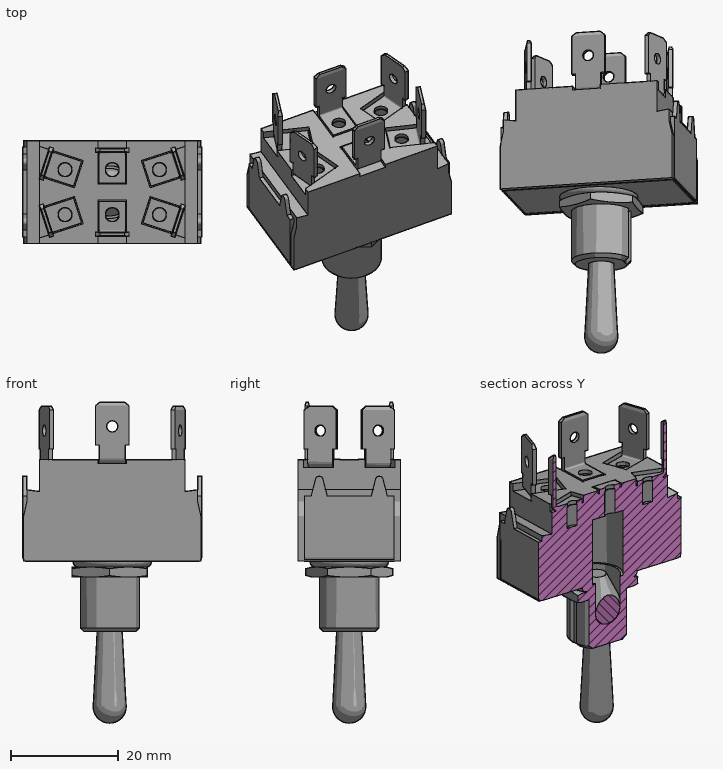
import cadquery as cq
import math


HOUSING_WIDTH = 19.05
HOUSING_HEIGHT = 18.8
UPPER_HALF_LENGTH = 13.5
LOWER_HALF_LENGTH = 16.45
SHOULDER_HALF_LENGTH = 15.85
SHOULDER_INNER_Z = 12.9
SHOULDER_OUTER_Z = 13.2
TAPER_BOTTOM_Z = 8.3
TAPER_TOP_Z = 10.95

BRACKET_HALF_LENGTH = 16.6
BRACKET_THICKNESS = BRACKET_HALF_LENGTH - SHOULDER_HALF_LENGTH
BRACKET_WIDTH = 16.7
BRACKET_BOTTOM_Z = -0.1
BRACKET_TOP_Z = 12.1
BRACKET_BEND_RADIUS = 0.95
TOOTH_SPACING = 11.15
TOOTH_BASE_WIDTH = 3.0
TOOTH_TIP_WIDTH = 1.4
TOOTH_SIDE_TOP_Z = 15.05
TOOTH_TIP_Z = 15.7

TAB_WIDTH = 6.25
TAB_THICKNESS = 0.85
NECK_WIDTH = 4.8
TAB_TOP_ABOVE_LEG = 11.4
SHOULDER_ABOVE_LEG = 3.4
TAB_HOLE_ABOVE_LEG = 6.85
TAB_HOLE_DIAMETER = 2.0
TAB_CORNER_WIDTH = 0.85
TAB_CORNER_HEIGHT = 0.7
TAB_EDGE_BEVEL = 0.2
TAB_OUTER_BEND_RADIUS = 1.15
HOLE_TO_TAB_FACE = 4.05
HOLE_TO_LEG_END = 2.45
LEG_HOLE_DIAMETER = 2.5
SCREW_HOLE_DIAMETER = 2.75
SCREW_HOLE_Y = 4.15
END_SCREW_HOLE_X = 8.75
END_TERMINAL_ANGLE = 18.0
MIDDLE_LEG_Z = 18.1
END_LEG_Z = 17.35
NOTCH_CLEARANCE = 0.25
NOTCH_REACH = 11.9

BUSHING_X = -0.5
FLANGE_RADIUS = 7.25
FLANGE_BOTTOM_Z = -1.15
FLANGE_ROUNDING = 0.95
HEX_ACROSS_FLATS = 14.0
HEX_TOP_Z = -1.15
HEX_BOTTOM_Z = -3.0
HEX_CORNER_CUT_HEIGHT = 0.3
BUSHING_RADIUS = 5.55
BUSHING_BOTTOM_Z = -13.1
BUSHING_CHAMFER = 0.7
KEYWAY_WIDTH = 1.95
KEYWAY_FLOOR_RADIUS = 4.5

BALL_RADIUS = 4.4
BALL_CENTRE_Z = -6.15
BALL_TO_CONE_ANGLE = 27.0
CONE_TOP_RADIUS = 1.8
STEM_TOP_RADIUS = 2.2
KNOB_RADIUS = 3.1
OVERALL_HEIGHT = 59.55
LEVER_TIP_Z = MIDDLE_LEG_Z + TAB_TOP_ABOVE_LEG - OVERALL_HEIGHT
CAVITY_RADIUS = 4.9
CAVITY_TOP_Z = 13.1


def housing_block():
    """Stepped block whose two ends lean in towards the shoulders."""
    right_side = [
        (LOWER_HALF_LENGTH, 0),
        (LOWER_HALF_LENGTH, TAPER_BOTTOM_Z),
        (SHOULDER_HALF_LENGTH, TAPER_TOP_Z),
        (SHOULDER_HALF_LENGTH, SHOULDER_OUTER_Z),
        (UPPER_HALF_LENGTH, SHOULDER_INNER_Z),
        (UPPER_HALF_LENGTH, HOUSING_HEIGHT),
    ]
    left_side = [(-x, z) for x, z in reversed(right_side)]
    outline = cq.Workplane("XZ").polyline(right_side + left_side).close()
    return outline.extrude(HOUSING_WIDTH / 2, both=True)


def bracket_tooth(y):
    """Round-tipped tooth, running the full length in X, rising from the bracket edge."""
    base = TOOTH_BASE_WIDTH / 2
    tip = TOOTH_TIP_WIDTH / 2
    return (
        cq.Workplane("YZ")
        .moveTo(y - base, BRACKET_TOP_Z)
        .lineTo(y - tip, TOOTH_SIDE_TOP_Z)
        .threePointArc((y, TOOTH_TIP_Z), (y + tip, TOOTH_SIDE_TOP_Z))
        .lineTo(y + base, BRACKET_TOP_Z)
        .close()
        .extrude(BRACKET_HALF_LENGTH, both=True)
    )


def bracket():
    """U-shaped strap with two teeth on each upright end."""
    length = 2 * BRACKET_HALF_LENGTH
    height = BRACKET_TOP_Z - BRACKET_BOTTOM_Z
    strap = (
        cq.Workplane("XY")
        .workplane(offset=BRACKET_BOTTOM_Z)
        .rect(length, BRACKET_WIDTH)
        .extrude(height)
        .edges("|Y and <Z")
        .fillet(BRACKET_BEND_RADIUS)
    )
    for y in (-TOOTH_SPACING / 2, TOOTH_SPACING / 2):
        strap = strap.union(bracket_tooth(y))
    inside = (
        cq.Workplane("XY")
        .workplane(offset=BRACKET_BOTTOM_Z + BRACKET_THICKNESS)
        .rect(length - 2 * BRACKET_THICKNESS, BRACKET_WIDTH)
        .extrude(TOOTH_TIP_Z)
    )
    return strap.cut(inside)


def terminal():
    """Bent tab about its screw hole: leg underside at Z = 0, upright blade on the -X side."""
    outer_x = -HOLE_TO_TAB_FACE
    inner_x = outer_x + TAB_THICKNESS
    top = TAB_TOP_ABOVE_LEG
    bevel_z = top - TAB_CORNER_HEIGHT
    outer_bend = TAB_OUTER_BEND_RADIUS
    inner_bend = outer_bend - TAB_THICKNESS
    bent_strip = (
        cq.Workplane("XZ")
        .moveTo(HOLE_TO_LEG_END, 0)
        .lineTo(outer_x + outer_bend, 0)
        .radiusArc((outer_x, outer_bend), outer_bend)
        .lineTo(outer_x, bevel_z)
        .lineTo(outer_x + TAB_EDGE_BEVEL, top)
        .lineTo(inner_x - TAB_EDGE_BEVEL, top)
        .lineTo(inner_x, bevel_z)
        .lineTo(inner_x, outer_bend)
        .radiusArc((inner_x + inner_bend, TAB_THICKNESS), -inner_bend)
        .lineTo(HOLE_TO_LEG_END, TAB_THICKNESS)
        .close()
        .extrude(TAB_WIDTH / 2, both=True)
    )
    right_side = [
        (NECK_WIDTH / 2, 0),
        (NECK_WIDTH / 2, SHOULDER_ABOVE_LEG),
        (TAB_WIDTH / 2, SHOULDER_ABOVE_LEG),
        (TAB_WIDTH / 2, bevel_z),
        (TAB_WIDTH / 2 - TAB_CORNER_WIDTH, top),
    ]
    left_side = [(-y, z) for y, z in reversed(right_side)]
    front_shape = (
        cq.Workplane("YZ")
        .polyline(right_side + left_side)
        .close()
        .extrude(HOLE_TO_TAB_FACE, both=True)
    )
    blade_hole = (
        cq.Workplane("YZ")
        .center(0, TAB_HOLE_ABOVE_LEG)
        .circle(TAB_HOLE_DIAMETER / 2)
        .extrude(-HOLE_TO_TAB_FACE)
    )
    leg_hole = cq.Workplane("XY").circle(LEG_HOLE_DIAMETER / 2).extrude(TAB_THICKNESS)
    return bent_strip.intersect(front_shape).cut(blade_hole).cut(leg_hole)


def terminal_notch():
    """Recess with a little clearance round a terminal leg, open on the blade side."""
    end_x = HOLE_TO_LEG_END + NOTCH_CLEARANCE
    return (
        cq.Workplane("XY")
        .center(end_x - NOTCH_REACH / 2, 0)
        .rect(NOTCH_REACH, NECK_WIDTH + 2 * NOTCH_CLEARANCE)
        .extrude(HOUSING_HEIGHT)
    )


def terminal_places():
    """Screw-hole X and Y, leg height and turn about Z of the six terminals."""
    places = []
    for side in (-1, 1):
        y = side * SCREW_HOLE_Y
        places.append((0, y, MIDDLE_LEG_Z, -90 * side))
        places.append((-END_SCREW_HOLE_X, y, END_LEG_Z, -END_TERMINAL_ANGLE * side))
        places.append((END_SCREW_HOLE_X, y, END_LEG_Z, 180 + END_TERMINAL_ANGLE * side))
    return places


def screw_hole(x, y, leg_z):
    """Hole from the underside of a terminal leg, slightly wider than the leg's own hole."""
    return (
        cq.Workplane("XY", origin=(x, y, CAVITY_TOP_Z))
        .circle(SCREW_HOLE_DIAMETER / 2)
        .extrude(leg_z - CAVITY_TOP_Z)
    )


def flange():
    """Round disc under the housing, rounded at its lower rim."""
    return (
        cq.Workplane("XY")
        .circle(FLANGE_RADIUS)
        .extrude(FLANGE_BOTTOM_Z)
        .faces("<Z")
        .edges()
        .fillet(FLANGE_ROUNDING)
    )


def hexagon():
    """Hexagon with a corner towards -Y and its corners turned off at top and bottom."""
    height = HEX_TOP_Z - HEX_BOTTOM_Z
    corner_diameter = HEX_ACROSS_FLATS / math.cos(math.pi / 6)
    chamfer_width = (corner_diameter - HEX_ACROSS_FLATS) / 2
    plane = cq.Workplane("XY", origin=(BUSHING_X, 0, HEX_BOTTOM_Z))
    prism = plane.transformed(rotate=(0, 0, 90)).polygon(6, corner_diameter).extrude(height)
    turned_blank = (
        plane.circle(corner_diameter / 2)
        .extrude(height)
        .faces("<Z or >Z")
        .edges()
        .chamfer(HEX_CORNER_CUT_HEIGHT, chamfer_width)
    )
    return prism.intersect(turned_blank)


def bushing():
    """Cylinder with a chamfered lower rim and a keyway down its -X side."""
    cylinder = (
        cq.Workplane("XY", origin=(BUSHING_X, 0, 0))
        .circle(BUSHING_RADIUS)
        .extrude(BUSHING_BOTTOM_Z)
        .faces("<Z")
        .edges()
        .chamfer(BUSHING_CHAMFER)
    )
    keyway_depth = BUSHING_RADIUS - KEYWAY_FLOOR_RADIUS
    keyway = (
        cq.Workplane("XY", origin=(BUSHING_X - KEYWAY_FLOOR_RADIUS - keyway_depth / 2, 0, HEX_BOTTOM_Z))
        .rect(keyway_depth, KEYWAY_WIDTH)
        .extrude(BUSHING_BOTTOM_Z - HEX_BOTTOM_Z)
    )
    return cylinder.cut(keyway)


def lever_cavity():
    """Bore above the lever ball, opening into a wider chamber in the housing."""
    bore = (
        cq.Workplane("XY", origin=(BUSHING_X, 0, BALL_CENTRE_Z))
        .circle(BALL_RADIUS)
        .extrude(-BALL_CENTRE_Z)
    )
    chamber = (
        cq.Workplane("XY", origin=(BUSHING_X, 0, 0))
        .circle(CAVITY_RADIUS)
        .extrude(CAVITY_TOP_Z)
    )
    return bore.union(chamber)


def build_lever():
    """Turned lever: cone and ball at the top, flaring stem, round knob at the tip."""
    cone_angle = math.radians(BALL_TO_CONE_ANGLE)
    cone_base_radius = BALL_RADIUS * math.cos(cone_angle)
    cone_base_z = BALL_CENTRE_Z + BALL_RADIUS * math.sin(cone_angle)
    cone_top_z = cone_base_z + (cone_base_radius - CONE_TOP_RADIUS) / math.tan(cone_angle)

    ball_bottom_z = BALL_CENTRE_Z - math.sqrt(BALL_RADIUS**2 - STEM_TOP_RADIUS**2)
    knob_centre_z = LEVER_TIP_Z + KNOB_RADIUS
    knob_slant = KNOB_RADIUS * math.sqrt(0.5)
    half_section = cq.Plane(origin=(BUSHING_X, 0, 0), xDir=(0, -1, 0), normal=(-1, 0, 0))
    profile = (
        cq.Workplane(half_section)
        .moveTo(0, cone_top_z)
        .lineTo(CONE_TOP_RADIUS, cone_top_z)
        .lineTo(cone_base_radius, cone_base_z)
        .threePointArc((BALL_RADIUS, BALL_CENTRE_Z), (STEM_TOP_RADIUS, ball_bottom_z))
        .lineTo(KNOB_RADIUS, knob_centre_z)
        .threePointArc((knob_slant, knob_centre_z - knob_slant), (0, LEVER_TIP_Z))
        .close()
    )
    return profile.revolve(360, (0, 0, 0), (0, 1, 0))


def build_switch_body(lever_solid):
    """Housing with its bracket, terminals and bushing, hollowed for the lever."""
    body = housing_block().union(bracket())
    for part in (flange(), hexagon(), bushing()):
        body = body.union(part)
    for x, y, leg_z, turn in terminal_places():
        location = cq.Location(cq.Vector(x, y, leg_z), cq.Vector(0, 0, 1), turn)
        notch = cq.Workplane(terminal_notch().val().moved(location))
        tab = cq.Workplane(terminal().val().moved(location))
        body = body.cut(notch).union(tab).cut(screw_hole(x, y, leg_z))
    return body.cut(lever_cavity()).cut(lever_solid)


lever = build_lever()
switch_body = build_switch_body(lever)

result = cq.Compound.makeCompound([switch_body.val(), lever.val()])